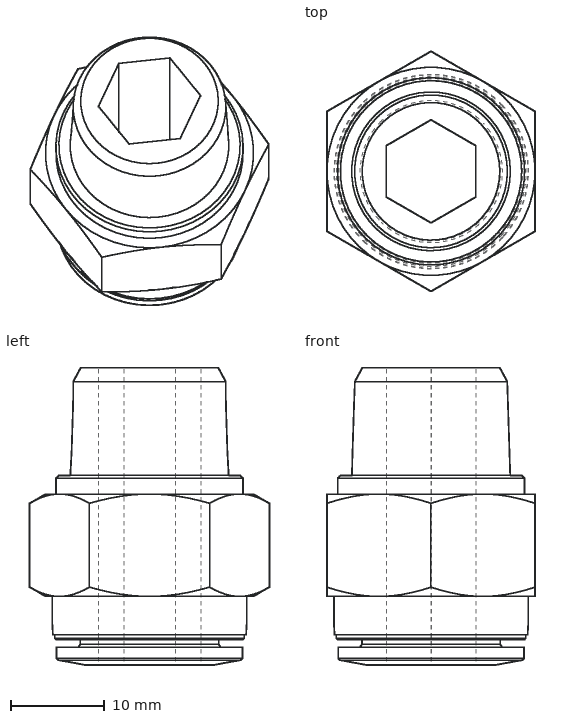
import cadquery as cq
import math

hex_across_flats = 22.23
hex_across_corners = hex_across_flats / math.cos(math.radians(30))
hex_bottom = 7.35
hex_top = 18.3
hex_chamfer_angle = 30

button_face_diameter = 13.67
button_edge_diameter = 19.55
button_diameter = 19.9
button_cone_height = 0.55
button_edge_height = 0.73
button_top = 1.95
neck_diameter = 14.82
neck_foot_diameter = 15.2
neck_foot_top = 2.23

body_bottom = 2.7
rim_diameter = 20.3
rim_chamfer = 0.2
rim_top = 3.25
band_bottom_diameter = 20.67
band_top = 4.4
body_diameter = 20.8

collar_diameter = 20.0
collar_top = 20.3
collar_chamfer = 0.32
spigot_base_diameter = 16.95
spigot_tip_diameter = 16.3
spigot_end_diameter = 14.7
spigot_end_chamfer_height = 1.5
total_height = 31.8

socket_across_flats = 9.5
socket_across_corners = socket_across_flats / math.cos(math.radians(30))


def revolved(profile):
    """Solid of revolution about Z from (diameter, height) points listed bottom to top."""
    points = [(diameter / 2, height) for diameter, height in profile]
    outline = [(0, points[0][1])] + points + [(0, points[-1][1])]
    return cq.Workplane("XZ").polyline(outline).close().revolve(360, (0, 0), (0, 1))


def hexagonal_prism(across_corners, bottom, top):
    """Hexagonal prism with two corners on the Y axis."""
    prism = cq.Workplane("XY").polygon(6, across_corners).extrude(top - bottom)
    return prism.rotate((0, 0, 0), (0, 0, 1), 30).translate((0, 0, bottom))


def wrench_hexagon():
    """Hexagon whose corners are trimmed by a cone at each end."""
    corner_overhang = (hex_across_corners - hex_across_flats) / 2
    corner_drop = corner_overhang * math.tan(math.radians(hex_chamfer_angle))
    envelope = revolved([
        (hex_across_flats, hex_bottom),
        (hex_across_corners, hex_bottom + corner_drop),
        (hex_across_corners, hex_top - corner_drop),
        (hex_across_flats, hex_top),
    ])
    return hexagonal_prism(hex_across_corners, hex_bottom, hex_top).intersect(envelope)


def lower_body():
    """Release button, flared neck and round body with a tapered lower band, up to the hexagon."""
    return revolved([
        (button_face_diameter, 0),
        (button_edge_diameter, button_cone_height),
        (button_diameter, button_edge_height),
        (button_diameter, button_top),
        (neck_foot_diameter, button_top),
        (neck_diameter, neck_foot_top),
        (neck_diameter, body_bottom),
        (rim_diameter - 2 * rim_chamfer, body_bottom),
        (rim_diameter, body_bottom + rim_chamfer),
        (rim_diameter, rim_top),
        (band_bottom_diameter, rim_top),
        (body_diameter, band_top),
        (body_diameter, hex_bottom),
    ])


def upper_body():
    """Chamfered collar and tapered spigot above the hexagon."""
    return revolved([
        (collar_diameter, hex_top),
        (collar_diameter, collar_top - collar_chamfer),
        (collar_diameter - 2 * collar_chamfer, collar_top),
        (spigot_base_diameter, collar_top),
        (spigot_tip_diameter, total_height - spigot_end_chamfer_height),
        (spigot_end_diameter, total_height),
    ])


passage = hexagonal_prism(socket_across_corners, 0, total_height)

result = lower_body().union(wrench_hexagon()).union(upper_body()).cut(passage)